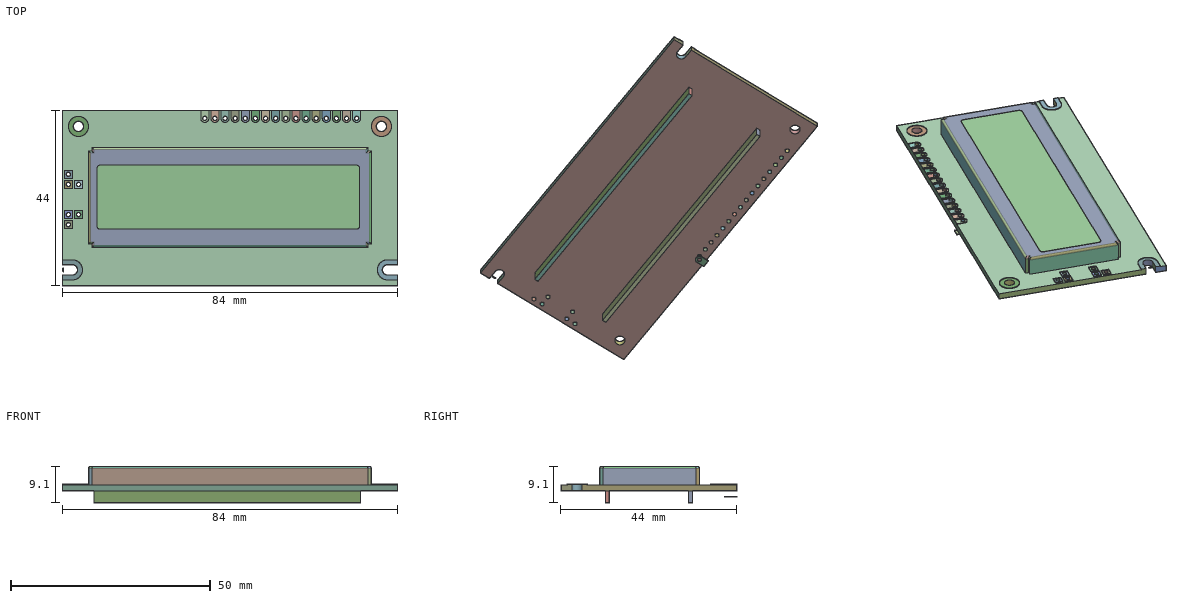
import cadquery as cq

BOARD_LENGTH = 84.0
BOARD_WIDTH = 44.0
BOARD_THICKNESS = 1.5
EDGE_Y = BOARD_WIDTH / 2

PAD_THICKNESS = 0.2
PAD_TOP = BOARD_THICKNESS + PAD_THICKNESS
CONTACT_HOLE_DIAMETER = 1.0
PITCH = 2.54

MOUNT_DIAMETER = 2.5
MOUNT_PAD_DIAMETER = 5.0
MOUNT_INSET = 4.0
MOUNT_Y = EDGE_Y - MOUNT_INSET
HOLE_X = BOARD_LENGTH / 2 - MOUNT_INSET
SLOT_DEPTH_TO_CENTER = 2.5
SLOT_X = BOARD_LENGTH / 2 - SLOT_DEPTH_TO_CENTER

CONTACT_COUNT = 16
CONTACT_WIDTH = 2.0
CONTACT_START_X = -6.3
CONTACT_Y = 20.0

LOOSE_PAD_BOTTOM = -1.6

SQUARE_PAD_SIZE = 2.0
SQUARE_PAD_X = -40.5
UPPER_GROUP_Y = 3.45
LOWER_GROUP_Y = -4.1

HOUSING_LENGTH = 70.9
HOUSING_WIDTH = 25.0
HOUSING_CENTER_Y = 0.2
HOUSING_TOP = 6.1
HOUSING_NOTCH = 0.8
HOUSING_ROUND = 0.5

WINDOW_LENGTH = 65.9
WINDOW_WIDTH = 16.05
WINDOW_CENTER = (-0.4, 0.25)
WINDOW_CORNER_RADIUS = 0.8
WINDOW_DEPTH = 0.1

RAIL_LENGTH = 66.9
RAIL_THICKNESS = 1.0
RAIL_HEIGHT = 3.0
RAIL_CENTER_X = -0.7
RAIL_OFFSET_Y = 10.4

SLIVER_LENGTH = 1.0
SLIVER_BULGE = 0.25


def box(length, width, bottom, top, center=(0, 0)):
    """Upright block between two heights, centred on a point in plan."""
    return (
        cq.Workplane("XY", origin=(center[0], center[1], bottom))
        .box(length, width, top - bottom, centered=(True, True, False))
    )


def disc(diameter, bottom, top, center):
    """Upright cylinder between two heights."""
    return (
        cq.Workplane("XY", origin=(center[0], center[1], bottom))
        .circle(diameter / 2)
        .extrude(top - bottom)
    )


def corner_slot(width, bottom, top, side):
    """Round-ended strip running from a slot centre out to the board edge on one side."""
    straight = box(
        SLOT_DEPTH_TO_CENTER, width, bottom, top,
        (side * (SLOT_X + SLOT_DEPTH_TO_CENTER / 2), -MOUNT_Y),
    )
    return straight.union(disc(width, bottom, top, (side * SLOT_X, -MOUNT_Y)))


def contact_pad(x, bottom):
    """Edge contact with a rounded inner end, reaching the back edge of the board."""
    reach = EDGE_Y - CONTACT_Y
    top = bottom + PAD_THICKNESS
    tail = box(CONTACT_WIDTH, reach, bottom, top, (x, CONTACT_Y + reach / 2))
    return tail.union(disc(CONTACT_WIDTH, bottom, top, (x, CONTACT_Y)))


def contact_positions():
    return [(CONTACT_START_X + i * PITCH, CONTACT_Y) for i in range(CONTACT_COUNT)]


def square_pad_positions():
    """Each L has two pads along the edge and one beside its inner pad."""
    positions = []
    for corner_y, direction in ((UPPER_GROUP_Y, 1), (LOWER_GROUP_Y, -1)):
        positions.append((SQUARE_PAD_X, corner_y))
        positions.append((SQUARE_PAD_X + PITCH, corner_y))
        positions.append((SQUARE_PAD_X, corner_y + direction * PITCH))
    return positions


def make_housing():
    """Display housing with notched corners, rounded top edges and a shallow window."""
    housing = box(HOUSING_LENGTH, HOUSING_WIDTH, BOARD_THICKNESS, HOUSING_TOP, (0, HOUSING_CENTER_Y))
    for side_x in (-1, 1):
        for side_y in (-1, 1):
            corner = (side_x * HOUSING_LENGTH / 2, HOUSING_CENTER_Y + side_y * HOUSING_WIDTH / 2)
            notch = box(2 * HOUSING_NOTCH, 2 * HOUSING_NOTCH, BOARD_THICKNESS, HOUSING_TOP, corner)
            housing = housing.cut(notch)
    housing = housing.faces(">Z").edges().fillet(HOUSING_ROUND)
    window = box(WINDOW_LENGTH, WINDOW_WIDTH, HOUSING_TOP - WINDOW_DEPTH, HOUSING_TOP, WINDOW_CENTER)
    return housing.cut(window.edges("|Z").fillet(WINDOW_CORNER_RADIUS))


def make_module():
    """Board with its pads, rails and display housing, drilled and slotted."""
    module = box(BOARD_LENGTH, BOARD_WIDTH, 0, BOARD_THICKNESS)

    for side in (-1, 1):
        module = module.union(disc(MOUNT_PAD_DIAMETER, BOARD_THICKNESS, PAD_TOP, (side * HOLE_X, MOUNT_Y)))
        module = module.union(corner_slot(MOUNT_PAD_DIAMETER, BOARD_THICKNESS, PAD_TOP, side))
    for x, _ in contact_positions():
        module = module.union(contact_pad(x, BOARD_THICKNESS))
    for position in square_pad_positions():
        module = module.union(box(SQUARE_PAD_SIZE, SQUARE_PAD_SIZE, BOARD_THICKNESS, PAD_TOP, position))

    for side in (-1, 1):
        module = module.cut(disc(MOUNT_DIAMETER, 0, PAD_TOP, (side * HOLE_X, MOUNT_Y)))
        module = module.cut(corner_slot(MOUNT_DIAMETER, 0, PAD_TOP, side))
    for position in contact_positions() + square_pad_positions():
        module = module.cut(disc(CONTACT_HOLE_DIAMETER, 0, PAD_TOP, position))

    for side in (-1, 1):
        rail_center = (RAIL_CENTER_X, side * RAIL_OFFSET_Y)
        module = module.union(box(RAIL_LENGTH, RAIL_THICKNESS, -RAIL_HEIGHT, 0, rail_center))
    return module.union(make_housing())


def make_loose_pad():
    """Separate contact pad hanging clear below the first contact of the row."""
    pad = contact_pad(CONTACT_START_X, LOOSE_PAD_BOTTOM)
    hole_top = LOOSE_PAD_BOTTOM + PAD_THICKNESS
    hole = disc(CONTACT_HOLE_DIAMETER, LOOSE_PAD_BOTTOM, hole_top, (CONTACT_START_X, CONTACT_Y))
    return pad.cut(hole)


def make_sliver():
    """Thin bow-shaped piece of copper at pad height, centred in the left slot's mouth."""
    return (
        cq.Workplane("XY", origin=(-BOARD_LENGTH / 2 + SLIVER_BULGE, -MOUNT_Y, BOARD_THICKNESS))
        .moveTo(0, -SLIVER_LENGTH / 2)
        .threePointArc((-SLIVER_BULGE, 0), (0, SLIVER_LENGTH / 2))
        .close()
        .extrude(PAD_THICKNESS)
    )


module = make_module()
loose_pad = make_loose_pad()
sliver = make_sliver()

result = cq.Compound.makeCompound([module.val(), loose_pad.val(), sliver.val()])